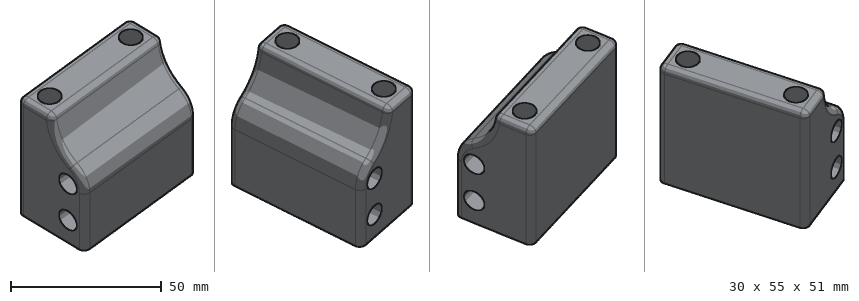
import cadquery as cq
import math

width = 30.0
depth = 55.0
height = 51.0
top_width = 15.0
concave_radius = 18.55
convex_radius = 11.45
edge_radius = 2.5
hole_diameter = 8.0
vertical_hole_x = 7.5
vertical_hole_spacing = 40.0
cross_hole_x = 22.5
cross_hole_heights = (10.0, 26.0)

concave_center = (top_width + concave_radius, height)
center_dx = concave_center[0] - (width - convex_radius)
center_distance = concave_radius + convex_radius
join_angle = math.acos(center_dx / center_distance)
convex_center = (
    width - convex_radius,
    height - center_distance * math.sin(join_angle),
)


def arc_point(center, radius, angle):
    """Point on a circle in the XZ plane."""
    return (center[0] + radius * math.cos(angle), center[1] + radius * math.sin(angle))


def make_body():
    """Extrude the stepped outline along Y, centred on the XZ plane."""
    join = arc_point(convex_center, convex_radius, join_angle)
    concave_middle = arc_point(concave_center, concave_radius, math.pi + join_angle / 2)
    convex_middle = arc_point(convex_center, convex_radius, join_angle / 2)
    return (
        cq.Workplane("XZ")
        .lineTo(0, height)
        .lineTo(top_width, height)
        .threePointArc(concave_middle, join)
        .threePointArc(convex_middle, (width, convex_center[1]))
        .lineTo(width, 0)
        .close()
        .extrude(depth / 2, both=True)
    )


def round_edges(body):
    """Round the end outlines and the top edges; the bottom stays sharp."""
    end_edges = body.faces("<Y or >Y").edges("not <Z")
    top_edges = body.faces(">Z").edges("|Y")
    return body.newObject(end_edges.vals() + top_edges.vals()).fillet(edge_radius)


def make_vertical_holes():
    """Pair of holes from the flat top through to the bottom."""
    offset = vertical_hole_spacing / 2
    return (
        cq.Workplane("XY")
        .pushPoints([(vertical_hole_x, -offset), (vertical_hole_x, offset)])
        .circle(hole_diameter / 2)
        .extrude(height)
    )


def make_cross_holes():
    """Pair of holes running the full depth along Y."""
    return (
        cq.Workplane("XZ")
        .pushPoints([(cross_hole_x, z) for z in cross_hole_heights])
        .circle(hole_diameter / 2)
        .extrude(depth / 2, both=True)
    )


result = round_edges(make_body()).cut(make_vertical_holes()).cut(make_cross_holes())